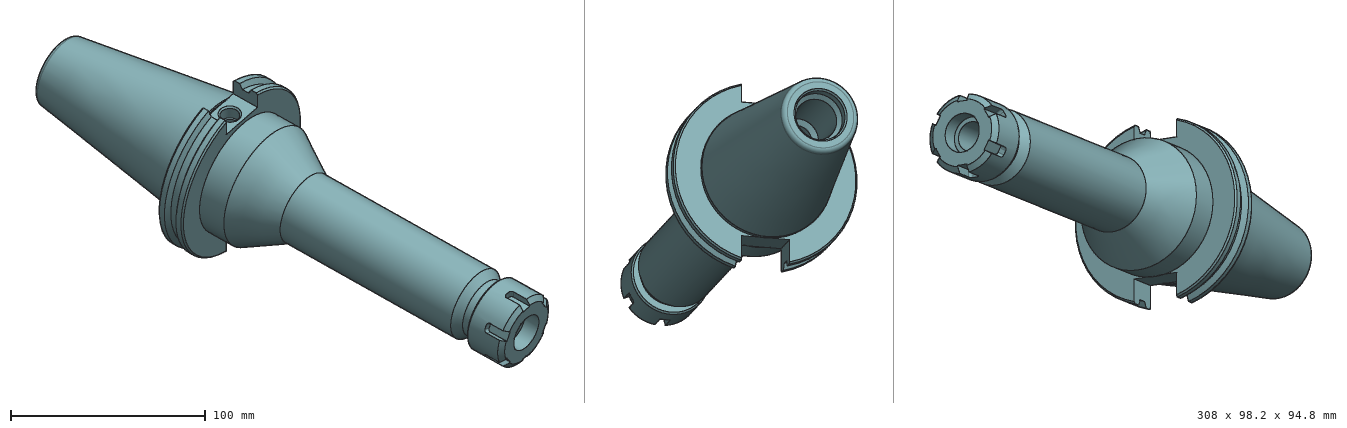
import cadquery as cq
import math


DRILL_POINT_ANGLE = 118


def drill_point_length(dia, tip_dia=0):
    """Length of a drill-point cone that narrows from dia to tip_dia."""
    return (dia - tip_dia) / 2 / math.tan(math.radians(DRILL_POINT_ANGLE / 2))


GAUGE_X = 101.5
GAUGE_DIA = 70.0
TAPER_PER_LENGTH = 7 / 24
SMALL_END_DIA = GAUGE_DIA - GAUGE_X * TAPER_PER_LENGTH
SMALL_END_ROUND = 2.8
RELIEF_START_X = 102.2
RELIEF_DIA = 69.3

FLANGE_START_X = 104.7
FLANGE_WIDTH = 16.0
FLANGE_END_X = FLANGE_START_X + FLANGE_WIDTH
FLANGE_DIA = 98.2
FLANGE_CHAMFER = 1.0
FLANGE_MID_X = FLANGE_START_X + FLANGE_WIDTH / 2
GROOVE_FLOOR_WIDTH = 4.0
GROOVE_DEPTH = 3.0
GROOVE_FLANK_ANGLE = 30

SLOT_WIDTH = 25.5
UPPER_SLOT_FLOOR_Z = 37.5
LOWER_SLOT_FLOOR_Z = -34.5
SLOT_HOLE_RIM_DIA = 12.0
SLOT_HOLE_DIA = 10.2
SLOT_HOLE_DEPTH = 7.7
PILOT_HOLE_DIA = 8.0
PILOT_HOLE_DEPTH = 12.3

HUB_DIA = GAUGE_DIA
HUB_END_X = 136.7
SHAFT_DIA = 40.5
HUB_CONE_ANGLE = 30
SHAFT_START_X = HUB_END_X + (HUB_DIA - SHAFT_DIA) / 2 / math.tan(math.radians(HUB_CONE_ANGLE))
SHAFT_END_X = 274.3
NECK_START_X = 279.0
NECK_DIA = 32.5
SPIGOT_DIA = 32.0
SPIGOT_LENGTH = 14.0

MOUTH_DIA = 28.3
MOUTH_CHAMFER = 1.0
COUNTERBORE_DIA = MOUTH_DIA - 2 * MOUTH_CHAMFER
COUNTERBORE_END_X = 6.2
THREAD_BORE_DIA = 22.0
THREAD_BORE_START_X = COUNTERBORE_END_X + (COUNTERBORE_DIA - THREAD_BORE_DIA) / 2
THREAD_BORE_END_X = 43.0
THROUGH_DIA = 15.7
THROUGH_START_X = THREAD_BORE_END_X + drill_point_length(THREAD_BORE_DIA, THROUGH_DIA)

NUT_START_X = 285.0
NUT_END_X = 308.0
NUT_DIA = 42.0
NUT_REAR_CHAMFER = 1.0
NUT_FRONT_CHAMFER_LENGTH = 2.2
NUT_FRONT_CHAMFER_DEPTH = 3.0
NUT_OPENING_DIA = 20.5
SPIGOT_END_X = NUT_START_X + SPIGOT_LENGTH
NOTCH_COUNT = 6
NOTCH_WIDTH = 5.5
NOTCH_FLOOR_RADIUS = 17.0
NOTCH_START_X = 295.5
NOTCH_CORNER_RADIUS = 1.5


def turned(outline):
    """Solid of revolution about X from (x, radius) points closed along the axis."""
    points = [(outline[0][0], 0), *outline, (outline[-1][0], 0)]
    return cq.Workplane("XY").polyline(points).close().revolve(360, (0, 0, 0), (1, 0, 0))


def make_holder_blank():
    """Taper, flange, hub, shaft, neck and spigot."""
    blank = turned([
        (0, SMALL_END_DIA / 2),
        (GAUGE_X, GAUGE_DIA / 2),
        (RELIEF_START_X, RELIEF_DIA / 2),
        (FLANGE_START_X, RELIEF_DIA / 2),
        (FLANGE_START_X, FLANGE_DIA / 2 - FLANGE_CHAMFER),
        (FLANGE_START_X + FLANGE_CHAMFER, FLANGE_DIA / 2),
        (FLANGE_END_X - FLANGE_CHAMFER, FLANGE_DIA / 2),
        (FLANGE_END_X, FLANGE_DIA / 2 - FLANGE_CHAMFER),
        (FLANGE_END_X, HUB_DIA / 2),
        (HUB_END_X, HUB_DIA / 2),
        (SHAFT_START_X, SHAFT_DIA / 2),
        (SHAFT_END_X, SHAFT_DIA / 2),
        (NECK_START_X, NECK_DIA / 2),
        (NUT_START_X, NECK_DIA / 2),
        (NUT_START_X, SPIGOT_DIA / 2),
        (SPIGOT_END_X, SPIGOT_DIA / 2),
    ])
    return blank.faces("<X").edges().fillet(SMALL_END_ROUND)


def make_groove():
    """Ring with a V section that opens at the flange rim."""
    floor_radius = FLANGE_DIA / 2 - GROOVE_DEPTH
    floor_half = GROOVE_FLOOR_WIDTH / 2
    rim_half = floor_half + GROOVE_DEPTH * math.tan(math.radians(GROOVE_FLANK_ANGLE))
    section = [
        (FLANGE_MID_X - floor_half, floor_radius),
        (FLANGE_MID_X + floor_half, floor_radius),
        (FLANGE_MID_X + rim_half, FLANGE_DIA / 2),
        (FLANGE_MID_X - rim_half, FLANGE_DIA / 2),
    ]
    return cq.Workplane("XY").polyline(section).close().revolve(360, (0, 0, 0), (1, 0, 0))


def make_drive_slot(floor_z):
    """Block that cuts the flange from floor_z outward, away from the axis."""
    outer_z = math.copysign(FLANGE_DIA / 2, floor_z)
    return (
        cq.Workplane("XY", origin=(FLANGE_MID_X, 0, floor_z))
        .rect(FLANGE_WIDTH, SLOT_WIDTH)
        .extrude(outer_z - floor_z)
    )


def make_slot_hole():
    """Blind hole with a chamfered rim, a narrower pilot and a drill point, turned about Z."""
    rim_radius = SLOT_HOLE_RIM_DIA / 2
    hole_radius = SLOT_HOLE_DIA / 2
    pilot_radius = PILOT_HOLE_DIA / 2
    chamfer_z = UPPER_SLOT_FLOOR_Z - (rim_radius - hole_radius)
    hole_bottom_z = UPPER_SLOT_FLOOR_Z - SLOT_HOLE_DEPTH
    pilot_bottom_z = UPPER_SLOT_FLOOR_Z - PILOT_HOLE_DEPTH
    section = [
        (0, UPPER_SLOT_FLOOR_Z),
        (rim_radius, UPPER_SLOT_FLOOR_Z),
        (hole_radius, chamfer_z),
        (hole_radius, hole_bottom_z),
        (pilot_radius, hole_bottom_z),
        (pilot_radius, pilot_bottom_z),
        (0, pilot_bottom_z - drill_point_length(PILOT_HOLE_DIA)),
    ]
    profile = cq.Workplane("XZ", origin=(FLANGE_MID_X, 0, 0)).polyline(section).close()
    return profile.revolve(360, (0, 0, 0), (0, 1, 0))


def make_holder_bore():
    """Chamfered mouth, counterbore, thread bore and through hole."""
    return turned([
        (0, MOUTH_DIA / 2),
        (MOUTH_CHAMFER, COUNTERBORE_DIA / 2),
        (COUNTERBORE_END_X, COUNTERBORE_DIA / 2),
        (THREAD_BORE_START_X, THREAD_BORE_DIA / 2),
        (THREAD_BORE_END_X, THREAD_BORE_DIA / 2),
        (THROUGH_START_X, THROUGH_DIA / 2),
        (SPIGOT_END_X, THROUGH_DIA / 2),
    ])


def make_holder():
    holder = make_holder_blank().cut(make_groove())
    for floor_z in (UPPER_SLOT_FLOOR_Z, LOWER_SLOT_FLOOR_Z):
        holder = holder.cut(make_drive_slot(floor_z))
    return holder.cut(make_slot_hole()).cut(make_holder_bore())


def make_notch(angle):
    """Wrench notch with rounded inner corners, open at the nut's front face and rim."""
    length = NUT_END_X - NOTCH_START_X
    notch = (
        cq.Workplane("XY", origin=(NOTCH_START_X + length / 2, 0, NOTCH_FLOOR_RADIUS))
        .rect(length, NOTCH_WIDTH)
        .extrude(NUT_DIA / 2 - NOTCH_FLOOR_RADIUS)
        .edges("|Z and <X")
        .fillet(NOTCH_CORNER_RADIUS)
    )
    return notch.rotate((0, 0, 0), (1, 0, 0), angle)


def make_nut():
    """Ring around the spigot, with a lip in front of it and evenly spaced notches."""
    nut = turned([
        (NUT_START_X, NUT_DIA / 2 - NUT_REAR_CHAMFER),
        (NUT_START_X + NUT_REAR_CHAMFER, NUT_DIA / 2),
        (NUT_END_X - NUT_FRONT_CHAMFER_LENGTH, NUT_DIA / 2),
        (NUT_END_X, NUT_DIA / 2 - NUT_FRONT_CHAMFER_DEPTH),
    ])
    bore = turned([
        (NUT_START_X, SPIGOT_DIA / 2),
        (SPIGOT_END_X, SPIGOT_DIA / 2),
        (SPIGOT_END_X, NUT_OPENING_DIA / 2),
        (NUT_END_X, NUT_OPENING_DIA / 2),
    ])
    nut = nut.cut(bore)
    for index in range(NOTCH_COUNT):
        nut = nut.cut(make_notch(index * 360 / NOTCH_COUNT))
    return nut


holder = make_holder()
nut = make_nut()
result = cq.Compound.makeCompound([holder.val(), nut.val()])